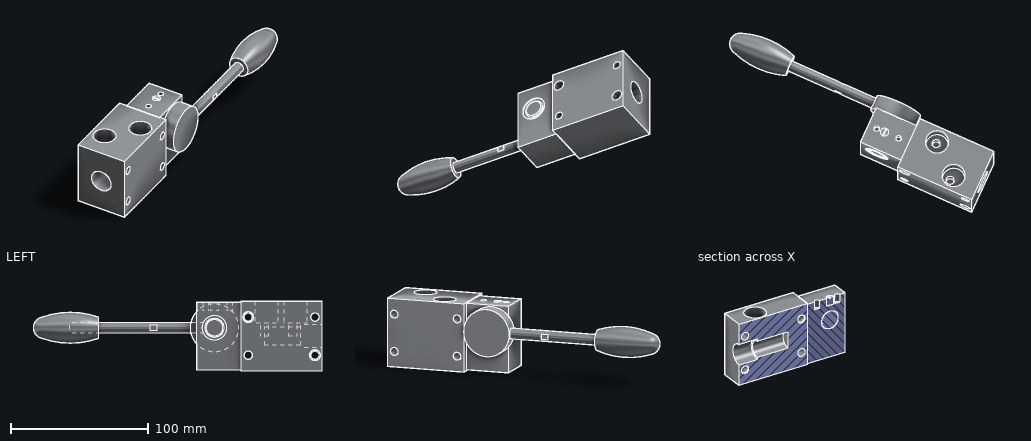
import cadquery as cq
import math

RIGHTWARD = (1, 0, 0)
REARWARD = (0, 1, 0)
DOWNWARD = (0, 0, -1)

BLOCK_WIDTH = 39.5
BLOCK_LENGTH = 59.2
BLOCK_HEIGHT = 51.0

MOUNT_DIAMETER = 6.0
MOUNT_COUNTERBORE_DIAMETER = 8.0
MOUNT_COUNTERBORE_DEPTH = 19.0
MOUNT_REAR_Y = 54.0
MOUNT_FRONT_Y = 5.3
MOUNT_UPPER_Z = 39.5
MOUNT_LOWER_Z = 11.5

TOP_PORT_DIAMETER = 16.6
TOP_PORT_DEPTH = 15.8
DRILL_DIAMETER = 6.0
DRILL_DEPTH = 25.3
REAR_PORT = (28.7, 40.7)
REAR_DRILL = (30.0, 42.0)
FRONT_PORT = (11.0, 19.4)
FRONT_DRILL = (9.3, 21.5)

END_PORT_DIAMETER = 16.6
END_PORT_DEPTH = 15.8
END_BORE_DIAMETER = 13.0
END_BORE_DEPTH = 42.2

HOUSING_WIDTH = 28.0
HOUSING_LENGTH = 32.5
HOUSING_HEIGHT = 49.7
HOUSING_LEFT = (BLOCK_WIDTH - HOUSING_WIDTH) / 2
HOUSING_RIGHT = HOUSING_LEFT + HOUSING_WIDTH
HOUSING_BOTTOM = (BLOCK_HEIGHT - HOUSING_HEIGHT) / 2
HOUSING_TOP = HOUSING_BOTTOM + HOUSING_HEIGHT
HOUSING_MIDDLE_X = BLOCK_WIDTH / 2

PIN_HOLE_DIAMETER = 4.0
PIN_HOLE_DEPTH = 6.3
PIN_HOLE_REAR_Y = 85.0
PIN_HOLE_FRONT_Y = 67.5

PIVOT_Y = 78.6
PIVOT_Z = 31.6

SHAFT_DIAMETER = 14.0
SHAFT_TIP_DIAMETER = 12.0
SHAFT_RECESS = 0.2
SHAFT_IN_HUB = 5.5
SHAFT_CHAMFER_LENGTH = 0.8

RING_DIAMETER = 18.0
RING_RECESS = 0.8
RING_THICKNESS = 3.2

SCREW_DIAMETER = 6.0
SCREW_LENGTH = 6.3
SLOT_WIDTH = 0.6
SLOT_DEPTH = 0.8

HUB_DIAMETER = 35.2
HUB_THICKNESS = 11.0
LEVER_X = HOUSING_RIGHT + HUB_THICKNESS / 2

ROD_DIAMETER = 8.0
ROD_START_Y = 87.5
FLAT_START_Y = 120.5
FLAT_END_Y = 125.6
ACROSS_FLATS = 7.0

KNOB_START_Y = 163.1
KNOB_DOME_Y = 204.5
KNOB_END_Y = 210.8
KNOB_END_DIAMETER = 15.5
KNOB_DIAMETER = 22.8
KNOB_SOCKET_DEPTH = 21.0


def box(x, y, z, size_x, size_y, size_z):
    """A box with its lowest corner at (x, y, z)."""
    return cq.Workplane("XY").box(size_x, size_y, size_z, centered=False).translate((x, y, z))


def cylinder(axis, start, diameter, length):
    """A cylinder that runs from the point `start` along the unit vector `axis`."""
    return cq.Workplane(cq.Solid.makeCylinder(diameter / 2, length, cq.Vector(start), cq.Vector(axis)))


def make_block():
    block = box(0, 0, 0, BLOCK_WIDTH, BLOCK_LENGTH, BLOCK_HEIGHT)
    for y in (MOUNT_REAR_Y, MOUNT_FRONT_Y):
        for z in (MOUNT_UPPER_Z, MOUNT_LOWER_Z):
            block = block.cut(cylinder(RIGHTWARD, (0, y, z), MOUNT_DIAMETER, BLOCK_WIDTH))
    for y, z in ((MOUNT_REAR_Y, MOUNT_UPPER_Z), (MOUNT_FRONT_Y, MOUNT_LOWER_Z)):
        start = (0, y, z)
        block = block.cut(cylinder(RIGHTWARD, start, MOUNT_COUNTERBORE_DIAMETER, MOUNT_COUNTERBORE_DEPTH))
    for port, drill in ((REAR_PORT, REAR_DRILL), (FRONT_PORT, FRONT_DRILL)):
        block = block.cut(cylinder(DOWNWARD, (*port, BLOCK_HEIGHT), TOP_PORT_DIAMETER, TOP_PORT_DEPTH))
        block = block.cut(cylinder(DOWNWARD, (*drill, BLOCK_HEIGHT), DRILL_DIAMETER, DRILL_DEPTH))
    end_center = (BLOCK_WIDTH / 2, 0, BLOCK_HEIGHT / 2)
    block = block.cut(cylinder(REARWARD, end_center, END_PORT_DIAMETER, END_PORT_DEPTH))
    return block.cut(cylinder(REARWARD, end_center, END_BORE_DIAMETER, END_BORE_DEPTH))


def make_housing():
    housing = box(
        HOUSING_LEFT, BLOCK_LENGTH, HOUSING_BOTTOM, HOUSING_WIDTH, HOUSING_LENGTH, HOUSING_HEIGHT
    )
    left_center = (HOUSING_LEFT, PIVOT_Y, PIVOT_Z)
    housing = housing.cut(cylinder(RIGHTWARD, left_center, SHAFT_DIAMETER, HOUSING_WIDTH))
    housing = housing.cut(
        cylinder(RIGHTWARD, left_center, RING_DIAMETER, RING_RECESS + RING_THICKNESS)
    )
    for y in (PIN_HOLE_REAR_Y, PIN_HOLE_FRONT_Y):
        top_center = (HOUSING_MIDDLE_X, y, HOUSING_TOP)
        housing = housing.cut(cylinder(DOWNWARD, top_center, PIN_HOLE_DIAMETER, PIN_HOLE_DEPTH))
    screw_top = (HOUSING_MIDDLE_X, PIVOT_Y, HOUSING_TOP)
    return housing.cut(cylinder(DOWNWARD, screw_top, SCREW_DIAMETER, SCREW_LENGTH))


def make_ring():
    start = (HOUSING_LEFT + RING_RECESS, PIVOT_Y, PIVOT_Z)
    ring = cylinder(RIGHTWARD, start, RING_DIAMETER, RING_THICKNESS)
    return ring.cut(cylinder(RIGHTWARD, start, SHAFT_DIAMETER, RING_THICKNESS))


def make_shaft():
    """The half section of the shaft, turned about the pivot axis."""
    start_x = HOUSING_LEFT + SHAFT_RECESS
    end_x = HOUSING_RIGHT + SHAFT_IN_HUB
    profile = (
        cq.Workplane("XY")
        .moveTo(start_x, PIVOT_Y)
        .lineTo(start_x, PIVOT_Y + SHAFT_TIP_DIAMETER / 2)
        .lineTo(start_x + SHAFT_CHAMFER_LENGTH, PIVOT_Y + SHAFT_DIAMETER / 2)
        .lineTo(end_x, PIVOT_Y + SHAFT_DIAMETER / 2)
        .lineTo(end_x, PIVOT_Y)
        .close()
    )
    return profile.revolve(360, (0, PIVOT_Y, 0), (1, PIVOT_Y, 0)).translate((0, 0, PIVOT_Z))


def make_screw():
    screw = cylinder(DOWNWARD, (HOUSING_MIDDLE_X, PIVOT_Y, HOUSING_TOP), SCREW_DIAMETER, SCREW_LENGTH)
    slot = box(
        HOUSING_MIDDLE_X - SCREW_DIAMETER / 2,
        PIVOT_Y - SLOT_WIDTH / 2,
        HOUSING_TOP - SLOT_DEPTH,
        SCREW_DIAMETER,
        SLOT_WIDTH,
        SLOT_DEPTH,
    )
    return screw.cut(slot)


def make_hub():
    left_center = (HOUSING_RIGHT, PIVOT_Y, PIVOT_Z)
    hub = cylinder(RIGHTWARD, left_center, HUB_DIAMETER, HUB_THICKNESS)
    hub = hub.cut(cylinder(RIGHTWARD, left_center, SHAFT_DIAMETER, SHAFT_IN_HUB))
    return hub.cut(cylinder(REARWARD, (LEVER_X, ROD_START_Y, PIVOT_Z), ROD_DIAMETER, HUB_DIAMETER / 2))


def make_rod():
    length = KNOB_START_Y + KNOB_SOCKET_DEPTH - ROD_START_Y
    rod = cylinder(REARWARD, (LEVER_X, ROD_START_Y, PIVOT_Z), ROD_DIAMETER, length)
    flat_depth = (ROD_DIAMETER - ACROSS_FLATS) / 2
    for x in (LEVER_X - ROD_DIAMETER / 2, LEVER_X + ACROSS_FLATS / 2):
        cutter = box(
            x,
            FLAT_START_Y,
            PIVOT_Z - ROD_DIAMETER / 2,
            flat_depth,
            FLAT_END_Y - FLAT_START_Y,
            ROD_DIAMETER,
        )
        rod = rod.cut(cutter)
    return rod


def make_knob():
    """A barrel with a domed end, turned about the rod axis."""
    end_radius = KNOB_END_DIAMETER / 2
    dome_height = KNOB_END_Y - KNOB_DOME_Y
    dome_radius = (end_radius**2 + dome_height**2) / (2 * dome_height)
    dome_half_angle = math.asin(end_radius / dome_radius) / 2
    dome_middle = (
        LEVER_X + dome_radius * math.sin(dome_half_angle),
        KNOB_END_Y - dome_radius * (1 - math.cos(dome_half_angle)),
    )
    profile = (
        cq.Workplane("XY")
        .moveTo(LEVER_X, KNOB_START_Y)
        .lineTo(LEVER_X + end_radius, KNOB_START_Y)
        .threePointArc(
            (LEVER_X + KNOB_DIAMETER / 2, (KNOB_START_Y + KNOB_DOME_Y) / 2),
            (LEVER_X + end_radius, KNOB_DOME_Y),
        )
        .threePointArc(dome_middle, (LEVER_X, KNOB_END_Y))
        .close()
    )
    knob = profile.revolve(360, (LEVER_X, 0, 0), (LEVER_X, 1, 0)).translate((0, 0, PIVOT_Z))
    socket_start = (LEVER_X, KNOB_START_Y, PIVOT_Z)
    return knob.cut(cylinder(REARWARD, socket_start, ROD_DIAMETER, KNOB_SOCKET_DEPTH))


bodies = [
    make_block(),
    make_housing(),
    make_ring(),
    make_shaft(),
    make_screw(),
    make_hub(),
    make_rod(),
    make_knob(),
]
result = cq.Compound.makeCompound([body.val() for body in bodies])